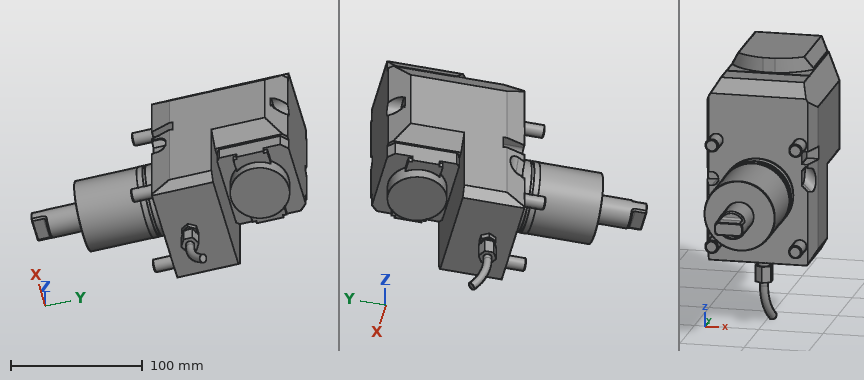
import cadquery as cq
import math

TAN_60 = math.tan(math.radians(60))

half_width = 43.0
top_z = 85.2
bottom_z = -55.0
back_y = 104.0
upper_side_z = 66.5
lower_side_z = -46.0
front_half_width = 38.5
front_bevel_depth = 14.8
front_top_bevel_drop = 8.6
back_bevel = 14.2
parting_groove_y = 33.5
parting_groove_width = 0.6
parting_groove_depth = 0.2
foot_back_y = 48.0
overhang_z = 1.55
overhang_bevel = 11.0
top_half_width = half_width - (top_z - upper_side_z) / TAN_60
bottom_half_width = half_width - (lower_side_z - bottom_z) / TAN_60

cap_top_z = 96.5
cap_half_width = 31.5
cap_lip_height = 1.2
cap_front_y = 36.0
cap_front_radius = 40.1
cap_flat_half_width = 4.7
cap_corner = 5.1

spindle_y = 74.7
flange_bottom_z = -10.5
flange_half_width = 30.7
flange_front_y = 48.5
flange_front_corner = 2.3
flange_back_corner = 5.1
key_height = 4.1
key_width = 21.0
key_shoulder_width = 26.8
key_shoulder_inset = 1.9
nose_diameter = 45.0
nose_bottom_z = -22.8

collar_diameter = 55.4
collar_end = 14.8
shank_diameter = 55.0
shank_length = 64.0
shank_chamfer = 0.5
relief_length = 1.2
ring_groove_diameter = 52.9
ring_groove_start = 8.2
ring_groove_width = 2.0
driver_diameter = 22.0
driver_end = 101.9
tang_start = 91.2
tang_thickness = 10.0
tang_root_radius = 1.6
tang_edge_chamfer = 1.2
tang_end_chamfer = 0.6

bolt_x = 32.5
bolt_z = 40.0
bolt_diameter = 10.0
upper_bolt_length = 16.3
lower_bolt_length = 16.9
bolt_chamfer = 0.8
head_pocket_diameter = 16.0
head_pocket_depth = 10.7

slot_end_x = -30.9
slot_z = 9.3
slot_height = 10.7
recess_depth = 17.5
notch_x = 33.8
notch_bottom_z = 25.0
notch_top_z = 35.0
port_width = 13.2
port_depth = 12.0
port_x = 33.0
port_z = 18.5
port_length = 41.2

gland_y = 20.0
upper_nut_flats = 11.5
upper_nut_height = 4.1
neck_diameter = 9.3
neck_height = 3.0
lower_nut_flats = 12.0
lower_nut_height = 12.5
cable_diameter = 6.4
cable_straight = 3.3
cable_reach = 12.1
cable_drop = 27.4
cable_heading = 69.0


def xy_plane(z, y=0):
    """Horizontal workplane at height z, centred on X = 0."""
    return cq.Workplane("XY", origin=(0, y, z))


def box(x0, x1, y0, y1, z0, z1):
    return cq.Workplane("XY").box(x1 - x0, y1 - y0, z1 - z0, centered=False).translate((x0, y0, z0))


def cylinder_y(diameter, y0, y1, x=0, z=0):
    """Cylinder along Y between two Y positions."""
    return cq.Workplane("XZ", origin=(x, y0, z)).circle(diameter / 2).extrude(y0 - y1)


def mirrored_outline(right_side):
    """Closed outline from its right half, listed from one end of the centre line to the other."""
    return right_side + [(-x, v) for x, v in reversed(right_side)]


def make_housing():
    front_outline = mirrored_outline([
        (bottom_half_width, bottom_z),
        (half_width, lower_side_z),
        (half_width, upper_side_z),
        (top_half_width, top_z),
    ])
    rear_outline = mirrored_outline([
        (half_width - overhang_bevel, overhang_z),
        (half_width, overhang_z + overhang_bevel),
        (half_width, upper_side_z),
        (top_half_width, top_z),
    ])
    plan_outline = mirrored_outline([
        (front_half_width, 0),
        (half_width, front_bevel_depth),
        (half_width, back_y - back_bevel),
        (half_width - back_bevel, back_y),
    ])
    side_outline = [
        (0, bottom_z),
        (back_y, bottom_z),
        (back_y, top_z),
        (front_bevel_depth, top_z),
        (0, top_z - front_top_bevel_drop),
    ]
    front = cq.Workplane("XZ").polyline(front_outline).close().extrude(-foot_back_y)
    rear = cq.Workplane("XZ").polyline(rear_outline).close().extrude(-back_y)
    plan = xy_plane(bottom_z).polyline(plan_outline).close().extrude(top_z - bottom_z)
    side = cq.Workplane("YZ").polyline(side_outline).close().extrude(half_width, both=True)
    parting_groove = box(
        -half_width, half_width,
        parting_groove_y, parting_groove_y + parting_groove_width,
        top_z - parting_groove_depth, top_z,
    )
    return front.union(rear).intersect(plan).intersect(side).cut(parting_groove)


def make_cap():
    height = cap_top_z - top_z
    slope = (height - cap_lip_height) / TAN_60
    arc_centre_y = cap_front_y + math.sqrt(cap_front_radius**2 - cap_flat_half_width**2)
    arc_end_y = arc_centre_y - math.sqrt(cap_front_radius**2 - cap_half_width**2)
    section = mirrored_outline([
        (cap_half_width, top_z),
        (cap_half_width, top_z + cap_lip_height),
        (cap_half_width - slope, cap_top_z),
    ])
    block = (
        cq.Workplane("XZ", origin=(0, cap_front_y, 0)).polyline(section).close().extrude(cap_front_y - back_y)
    )
    plan = (
        xy_plane(top_z)
        .moveTo(cap_half_width, arc_end_y)
        .lineTo(cap_half_width, back_y - cap_corner)
        .lineTo(cap_half_width - cap_corner, back_y)
        .lineTo(cap_corner - cap_half_width, back_y)
        .lineTo(-cap_half_width, back_y - cap_corner)
        .lineTo(-cap_half_width, arc_end_y)
        .threePointArc((0, arc_centre_y - cap_front_radius), (cap_half_width, arc_end_y))
        .close()
        .extrude(height)
    )
    return block.intersect(plan)


def make_spindle():
    outline = mirrored_outline([
        (flange_half_width - flange_front_corner, flange_front_y),
        (flange_half_width, flange_front_y + flange_front_corner),
        (flange_half_width, back_y - flange_back_corner),
        (flange_half_width - flange_back_corner, back_y),
    ])
    flange_height = overhang_z - flange_bottom_z
    flange = xy_plane(flange_bottom_z).polyline(outline).close().extrude(flange_height)
    key_plane = xy_plane(flange_bottom_z, spindle_y)
    key = key_plane.rect(2 * flange_half_width, key_width).extrude(-key_height)
    shoulder_length = 2 * (flange_half_width - key_shoulder_inset)
    shoulder = key_plane.rect(shoulder_length, key_shoulder_width).extrude(-key_height)
    nose = key_plane.circle(nose_diameter / 2).extrude(nose_bottom_z - flange_bottom_z)
    return flange.union(key).union(shoulder).union(nose)


def make_shank():
    groove_end = ring_groove_start + ring_groove_width
    core = cylinder_y(ring_groove_diameter, 0, -groove_end)
    relief = cylinder_y(shank_diameter, 0, -relief_length)
    rear_collar = cylinder_y(collar_diameter, -relief_length, -ring_groove_start)
    front_collar = cylinder_y(collar_diameter, -groove_end, -collar_end)
    barrel = cylinder_y(shank_diameter, -collar_end, -shank_length).faces("<Y").chamfer(shank_chamfer)
    return core.union(relief).union(rear_collar).union(front_collar).union(barrel)


def make_driver():
    driver = cylinder_y(driver_diameter, -shank_length, -driver_end)
    radius = driver_diameter / 2
    half_tang = tang_thickness / 2
    flat = box(-radius, radius, -driver_end, -tang_start, half_tang, radius)
    flat = flat.edges(">Y and <Z").fillet(tang_root_radius)
    driver = driver.cut(flat).cut(flat.mirror("XY"))
    long_edges = cq.selectors.BoxSelector(
        (-radius, -driver_end, -half_tang - tang_end_chamfer),
        (radius, -tang_start - tang_root_radius, half_tang + tang_end_chamfer),
    )
    driver = driver.edges("|Y").edges(long_edges).chamfer(tang_edge_chamfer)
    return driver.faces("<Y").chamfer(tang_end_chamfer)


def make_bolts():
    bolts = cq.Workplane("XY")
    for x in (-bolt_x, bolt_x):
        for z, length in ((bolt_z, upper_bolt_length), (-bolt_z, lower_bolt_length)):
            bolts = bolts.union(cylinder_y(bolt_diameter, 0, -length, x, z).faces("<Y").chamfer(bolt_chamfer))
    return bolts


def make_head_pockets():
    """Head pockets of the upper bolts, bored from the back face."""
    pocket_floor_y = back_y - head_pocket_depth
    pockets = cq.Workplane("XY")
    for x in (-bolt_x, bolt_x):
        pockets = pockets.union(cylinder_y(head_pocket_diameter, back_y, pocket_floor_y, x, bolt_z))
    return pockets


def make_edge_recesses():
    end_radius = slot_height / 2
    slot_bottom = slot_z - end_radius
    slot = box(-half_width, slot_end_x - end_radius, 0, recess_depth, slot_bottom, slot_bottom + slot_height)
    slot = slot.union(cylinder_y(slot_height, 0, recess_depth, slot_end_x - end_radius, slot_z))
    notch = box(notch_x, half_width, 0, recess_depth, notch_bottom_z, notch_top_z)
    return slot.union(notch)


def make_ports():
    """Two round-bottomed channels at 45 degrees across the front edges, half a turn apart."""
    radius = port_width / 2
    round_y = port_depth - radius
    floor = cq.Plane(origin=(-port_x, 0, -port_z), xDir=(0, 1, 0), normal=(-1, 0, 1))
    left_port = (
        cq.Workplane(floor)
        .moveTo(0, -radius)
        .lineTo(round_y, -radius)
        .threePointArc((port_depth, 0), (round_y, radius))
        .lineTo(0, radius)
        .close()
        .extrude(port_length)
    )
    right_port = left_port.rotate((0, 0, 0), (0, 1, 0), 180)
    beyond_notch_wall = box(notch_x, 2 * half_width, 0, recess_depth, bottom_z, top_z)
    return left_port.union(right_port.intersect(beyond_notch_wall))


def make_hex_nut(across_flats, height, z, turn):
    """Hexagon hanging down from height z, turned by an angle in degrees about its own axis."""
    nut = xy_plane(z, gland_y).polygon(6, across_flats, circumscribed=True).extrude(-height)
    return nut.rotate((0, gland_y, 0), (0, gland_y, 1), turn)


def make_cable_gland():
    neck_z = bottom_z - upper_nut_height
    lower_nut_z = neck_z - neck_height
    cable_z = lower_nut_z - lower_nut_height
    upper_nut = make_hex_nut(upper_nut_flats, upper_nut_height, bottom_z, 90)
    neck = xy_plane(neck_z, gland_y).circle(neck_diameter / 2).extrude(-neck_height)
    lower_nut = make_hex_nut(lower_nut_flats, lower_nut_height, lower_nut_z, 0)

    heading = math.radians(cable_heading)
    bend_plane = cq.Plane(
        origin=(0, gland_y, cable_z),
        xDir=(math.cos(heading), math.sin(heading), 0),
        normal=(math.sin(heading), -math.cos(heading), 0),
    )
    path = (
        cq.Workplane(bend_plane)
        .lineTo(0, -cable_straight)
        .tangentArcPoint((cable_reach, -cable_straight - cable_drop), relative=False)
    )
    cable = xy_plane(cable_z, gland_y).circle(cable_diameter / 2).sweep(path)
    return upper_nut.union(neck).union(lower_nut).union(cable)


housing = make_housing().cut(make_edge_recesses()).cut(make_ports()).cut(make_head_pockets())
result = (
    housing.union(make_cap())
    .union(make_spindle())
    .union(make_shank())
    .union(make_driver())
    .union(make_bolts())
    .union(make_cable_gland())
)